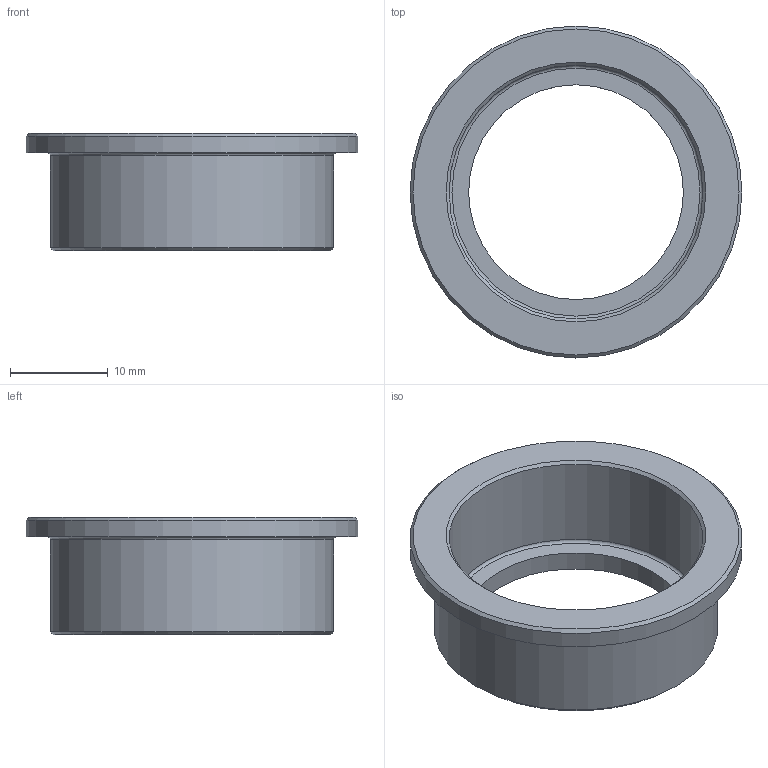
import cadquery as cq

flange_diameter = 34.0
flange_thickness = 2.0
barrel_diameter = 29.0
total_height = 12.0

bore_diameter = 26.0
lip_diameter = 22.0
lip_thickness = 2.0

edge_chamfer = 0.3
corner_fillet = 0.3

flange_underside = total_height - flange_thickness
bore_depth = total_height - lip_thickness


def make_barrel():
    """Cylindrical sleeve with a chamfered lower rim."""
    barrel = cq.Workplane("XY").circle(barrel_diameter / 2).extrude(total_height)
    return barrel.faces("<Z").edges().chamfer(edge_chamfer)


def make_flange():
    """Collar at the top of the sleeve with a chamfered upper rim."""
    flange = cq.Workplane("XY", origin=(0, 0, flange_underside))
    flange = flange.circle(flange_diameter / 2).extrude(flange_thickness)
    return flange.faces(">Z").edges().chamfer(edge_chamfer)


def round_flange_root(body):
    """Fillet the inside corner where the sleeve meets the flange."""
    below_root = flange_underside - corner_fillet
    above_root = flange_underside + corner_fillet
    root_radius = barrel_diameter / 2 + corner_fillet
    root_zone = cq.selectors.BoxSelector(
        (-root_radius, -root_radius, below_root),
        (root_radius, root_radius, above_root),
        boundingbox=True,
    )
    return body.edges(root_zone).fillet(corner_fillet)


def make_bore_cutter():
    """Bore with a rounded floor corner, a flared mouth and a through hole in the lip."""
    bore = cq.Workplane("XY", origin=(0, 0, lip_thickness))
    bore = bore.circle(bore_diameter / 2).extrude(bore_depth)
    bore = bore.faces("<Z").edges().fillet(corner_fillet)

    mouth_bottom = total_height - edge_chamfer
    mouth = cq.Solid.makeCone(
        bore_diameter / 2,
        bore_diameter / 2 + edge_chamfer,
        edge_chamfer,
        pnt=cq.Vector(0, 0, mouth_bottom),
    )

    lip_hole = cq.Workplane("XY").circle(lip_diameter / 2).extrude(total_height)
    return bore.union(cq.Workplane(obj=mouth)).union(lip_hole)


body = make_barrel().union(make_flange())
body = round_flange_root(body)
result = body.cut(make_bore_cutter())